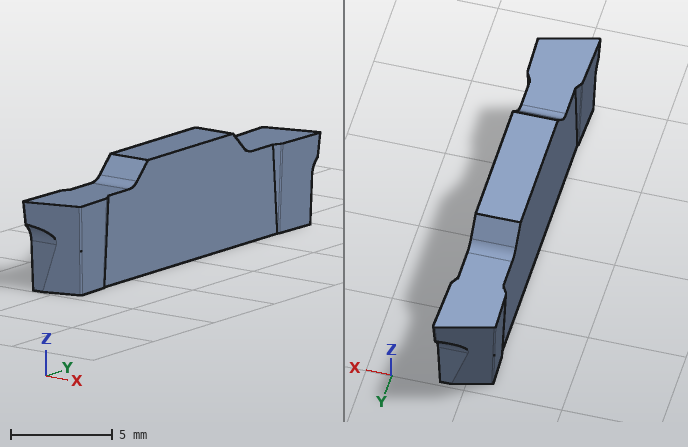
import math

import cadquery as cq


total_height = 5.76
seat_height = 4.58

head_half_width = 1.505
tip_reach = 10.38
lead_angle = math.radians(15)
end_relief = math.radians(5)
side_relief = math.radians(2.5)
back_taper = math.radians(2)
tip_radius = 0.1

body_half_width = 1.15
neck_reach = 7.26
neck_angle = math.radians(30)
neck_radius = 0.25

ridge_top_half_length = 3.52
ridge_slope = math.radians(45)
ridge_foot_radius = 0.97

undercut_reach = 9.75
undercut_radius = 1.1
undercut_arc = math.radians(60)
undercut_wall_height = 2.52

lead_slope = math.tan(lead_angle)
taper_slope = math.tan(back_taper)


def flank_outline(depth, side):
    """Neck and corner points of one flank of the +Y head, at a depth below the seat.

    Side +1 is the leading flank at +X, side -1 the trailing flank at -X.
    """
    sharp_corner_y = tip_reach - (1 - side) * head_half_width * lead_slope
    flank_half_width = head_half_width - depth * math.tan(side_relief)
    end_face_y = (
        tip_reach
        - head_half_width * lead_slope
        - depth * math.tan(end_relief) / math.cos(lead_angle)
    )

    corner_x = flank_half_width + taper_slope * (end_face_y - sharp_corner_y)
    corner_x /= 1 - side * taper_slope * lead_slope
    corner_y = end_face_y + side * corner_x * lead_slope

    neck_x = flank_half_width - taper_slope * (sharp_corner_y - neck_reach)
    neck_foot_y = neck_reach - (neck_x - body_half_width) / math.tan(neck_angle)

    return [
        (side * body_half_width, neck_foot_y),
        (side * neck_x, neck_reach),
        (side * corner_x, corner_y),
    ]


def insert_outline(depth):
    """Closed plan outline of both heads and the body, at a depth below the seat."""
    head = flank_outline(depth, 1) + flank_outline(depth, -1)[::-1]
    return head + [(-x, -y) for x, y in head]


def upright_edges(solid, near_y, far_y):
    """Full-height edges whose middle lies between two distances from the XZ plane."""
    chosen = []
    for edge in solid.edges().vals():
        is_full_height = edge.BoundingBox().zlen > seat_height / 2
        if is_full_height and near_y < abs(edge.Center().y) < far_y:
            chosen.append(edge)
    return solid.newObject(chosen)


def make_blank():
    """Body and both heads as one drafted block with rounded corner and neck edges."""
    blank = (
        cq.Workplane("XY")
        .polyline(insert_outline(seat_height))
        .close()
        .workplane(offset=seat_height)
        .polyline(insert_outline(0))
        .close()
        .loft(ruled=True, combine=True)
    )
    neck_margin = 0.06
    blank = upright_edges(blank, neck_reach + neck_margin, tip_reach).fillet(tip_radius)
    return upright_edges(blank, neck_reach - neck_margin, neck_reach + neck_margin).fillet(neck_radius)


def make_ridge():
    """Ridge with sloping ends that run out onto the seat in a hollow foot."""
    foot_height = seat_height + ridge_foot_radius * (1 - math.cos(ridge_slope))
    foot_start = ridge_top_half_length + (total_height - foot_height) / math.tan(ridge_slope)
    foot_center_y = foot_start + ridge_foot_radius * math.sin(ridge_slope)
    foot_mid_y = foot_center_y - ridge_foot_radius * math.sin(ridge_slope / 2)
    foot_mid_z = seat_height + ridge_foot_radius * (1 - math.cos(ridge_slope / 2))
    root_height = seat_height / 2
    return (
        cq.Workplane("YZ")
        .moveTo(-ridge_top_half_length, total_height)
        .lineTo(ridge_top_half_length, total_height)
        .lineTo(foot_start, foot_height)
        .threePointArc((foot_mid_y, foot_mid_z), (foot_center_y, seat_height))
        .lineTo(foot_center_y, root_height)
        .lineTo(-foot_center_y, root_height)
        .lineTo(-foot_center_y, seat_height)
        .threePointArc((-foot_mid_y, foot_mid_z), (-foot_start, foot_height))
        .close()
        .extrude(body_half_width, both=True)
    )


def make_undercut():
    """Cutter for the +Y end: an upright wall that curves outwards below the cutting edge."""
    def hollow_point(angle):
        return (
            undercut_reach + undercut_radius * (1 - math.cos(angle)),
            undercut_wall_height + undercut_radius * math.sin(angle),
        )

    hollow_end = hollow_point(undercut_arc)
    return (
        cq.Workplane("YZ")
        .moveTo(undercut_reach, 0)
        .lineTo(undercut_reach, undercut_wall_height)
        .threePointArc(hollow_point(undercut_arc / 2), hollow_end)
        .lineTo(tip_reach, hollow_end[1])
        .lineTo(tip_reach, 0)
        .close()
        .extrude(head_half_width, both=True)
    )


undercut = make_undercut()
result = make_blank().union(make_ridge())
for turn in (0, 180):
    result = result.cut(undercut.rotate((0, 0, 0), (0, 0, 1), turn))